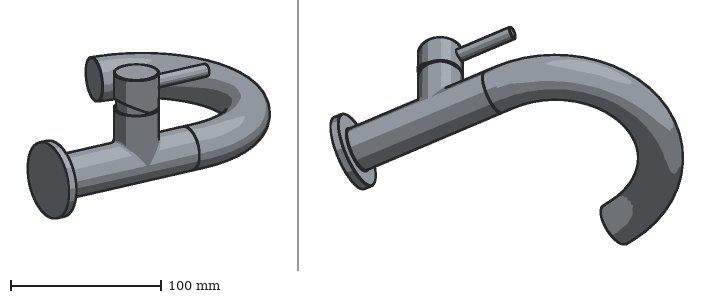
import cadquery as cq
import math

overall_length = 203.0
tube_diameter = 30.0
tube_radius = tube_diameter / 2
edge_chamfer = 0.5

flange_diameter = 52.0
flange_thickness = 6.0
foot_collar = 0.6
tube_end_y = 109.6
stem_y = 69.2
stem_top_z = 37.1
stem_blend_radius = 2.6
neck_diameter = 27.2
neck_top_z = 48.7

bend_radius = 70.0
bend_angle = 170.0
outlet_length = 6.0
bend_center_y = overall_length - bend_radius - tube_radius

cap_bottom_z = 38.5
cap_top_z = 63.0
cap_slope_rise = 7.1
cap_chamfer = 0.6
lever_diameter = 8.7
lever_z = 53.0
lever_tip_y = 124.2


def cylinder_along_y(diameter, start_y, end_y, z=0.0):
    """Round bar parallel to Y between two Y positions."""
    plane = cq.Plane(origin=(0, start_y, z), xDir=(1, 0, 0), normal=(0, 1, 0))
    return cq.Workplane(plane).circle(diameter / 2).extrude(end_y - start_y)


def cylinder_on_stem_axis(diameter, bottom_z, top_z):
    """Upright round bar centred on the stem axis."""
    plane = cq.Plane(origin=(0, stem_y, bottom_z))
    return cq.Workplane(plane).circle(diameter / 2).extrude(top_z - bottom_z)


def make_foot_collar():
    """Small 45 degree collar where the tube meets the flange."""
    plane = cq.Plane(origin=(0, flange_thickness, 0), xDir=(1, 0, 0), normal=(0, 1, 0))
    return cq.Workplane(plane).circle(tube_radius + foot_collar).extrude(foot_collar, taper=45)


def make_housing():
    flange = cylinder_along_y(flange_diameter, 0, flange_thickness)
    flange = flange.faces(">Y").chamfer(edge_chamfer)
    tube = cylinder_along_y(tube_diameter, 0, tube_end_y)
    tube = tube.faces(">Y").chamfer(edge_chamfer)
    stem = cylinder_on_stem_axis(tube_diameter, 0, stem_top_z)

    body = tube.union(stem).edges("%ELLIPSE").fillet(stem_blend_radius)

    neck = cylinder_on_stem_axis(neck_diameter, stem_top_z, neck_top_z)
    collar = make_foot_collar()
    return body.union(flange).union(collar).union(neck)


def make_spout():
    angle = math.radians(bend_angle)

    def bend_point(turn):
        return (
            bend_radius * (math.cos(turn) - 1),
            bend_center_y + bend_radius * math.sin(turn),
        )

    bend_end = bend_point(angle)
    outlet = (
        bend_end[0] - outlet_length * math.sin(angle),
        bend_end[1] + outlet_length * math.cos(angle),
    )
    path = (
        cq.Workplane("XY")
        .moveTo(0, tube_end_y)
        .lineTo(0, bend_center_y)
        .threePointArc(bend_point(angle / 2), bend_end)
        .lineTo(*outlet)
    )
    plane = cq.Plane(origin=(0, tube_end_y, 0), xDir=(1, 0, 0), normal=(0, 1, 0))
    spout = cq.Workplane(plane).circle(tube_radius).sweep(path)
    outlet_face = cq.selectors.NearestToPointSelector((*outlet, 0))
    return spout.faces(outlet_face).chamfer(edge_chamfer)


def make_handle():
    cap = cylinder_on_stem_axis(tube_diameter, cap_bottom_z, cap_top_z)
    cap = cap.faces(">Z").chamfer(cap_chamfer)

    underside_wedge = (
        cq.Workplane("YZ")
        .moveTo(stem_y, cap_bottom_z)
        .lineTo(stem_y - tube_radius, cap_bottom_z + cap_slope_rise)
        .lineTo(stem_y - tube_radius, cap_bottom_z)
        .close()
        .extrude(tube_radius, both=True)
    )
    neck_socket = cylinder_on_stem_axis(neck_diameter, cap_bottom_z, neck_top_z)
    lever = cylinder_along_y(lever_diameter, stem_y, lever_tip_y, lever_z)
    lever = lever.faces(">Y").chamfer(edge_chamfer)
    return cap.cut(underside_wedge).union(lever).cut(neck_socket)


housing = make_housing()
spout = make_spout()
handle = make_handle()

result = cq.Compound.makeCompound([housing.val(), spout.val(), handle.val()])